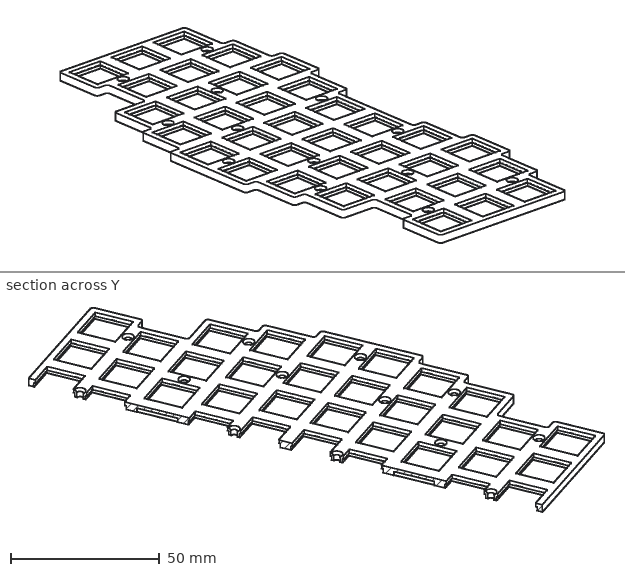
import cadquery as cq

KEY_PITCH = 19.05
STAGGER = KEY_PITCH / 4
CUTOUT_SIZE = 14.0

CLIP_LIP_THICKNESS = 1.5
CLIP_RELIEF_DEPTH = 0.5
CLIP_RELIEF_SIZE = CUTOUT_SIZE + 2 * CLIP_RELIEF_DEPTH

PLATE_THICKNESS = 3.0
EDGE_MARGIN = 0.018
CORNER_RADIUS = 1.1

SCREW_DIAMETER = 2.2
SCREW_HEAD_DIAMETER = 4.0
COUNTERSINK_ANGLE = 90.0

HALF_COLUMNS = [(4, 0), (4, 1), (4, 2), (3, 1), (3, 0)]

HIGHEST_STEP = max(step for _, step in HALF_COLUMNS)
LAYOUT_HEIGHT = HALF_COLUMNS[0][0] * KEY_PITCH + HIGHEST_STEP * STAGGER
CENTRE_COLUMN_TOP = LAYOUT_HEIGHT / 2 - HIGHEST_STEP * STAGGER

HALF_SCREWS = [
    (1.0, 0.375),
    (1.0, 2.375),
    (2.0, 3.125),
    (2.5, 1.5),
    (4.0, 0.375),
    (4.0, 2.375),
]
CENTRE_SCREW_DROP = 3.5


def column_top(step):
    return CENTRE_COLUMN_TOP + step * STAGGER


def column_centre_x(index):
    return (index + 0.5) * KEY_PITCH


def mirrored(points):
    """Return the points together with their mirror images about the YZ plane."""
    return points + [(-x, y) for x, y in points]


def make_plate():
    """Slab covering all key cells, with every upright corner rounded."""
    plate = cq.Workplane("XY")
    for index, (key_count, step) in enumerate(HALF_COLUMNS):
        column_height = key_count * KEY_PITCH
        centre_y = column_top(step) - column_height / 2
        column_pair = (
            cq.Workplane("XY")
            .pushPoints(mirrored([(column_centre_x(index), centre_y)]))
            .rect(KEY_PITCH + 2 * EDGE_MARGIN, column_height + 2 * EDGE_MARGIN)
            .extrude(PLATE_THICKNESS)
        )
        plate = plate.union(column_pair)
    return plate.clean().edges("|Z").fillet(CORNER_RADIUS)


def key_centres():
    centres = []
    for index, (key_count, step) in enumerate(HALF_COLUMNS):
        for row in range(key_count):
            centres.append((column_centre_x(index), column_top(step) - (row + 0.5) * KEY_PITCH))
    return mirrored(centres)


def screw_centres():
    half = [(x * KEY_PITCH, CENTRE_COLUMN_TOP - drop * KEY_PITCH) for x, drop in HALF_SCREWS]
    centre = (0.0, CENTRE_COLUMN_TOP - CENTRE_SCREW_DROP * KEY_PITCH)
    return mirrored(half) + [centre]


def cut_key_openings(plate):
    openings = (
        cq.Workplane("XY")
        .pushPoints(key_centres())
        .rect(CUTOUT_SIZE, CUTOUT_SIZE)
        .extrude(PLATE_THICKNESS)
    )
    return plate.cut(openings)


def cut_clip_reliefs(plate):
    reliefs = (
        cq.Workplane("XY")
        .pushPoints(key_centres())
        .rect(CLIP_RELIEF_SIZE, CLIP_RELIEF_SIZE)
        .extrude(PLATE_THICKNESS - CLIP_LIP_THICKNESS)
    )
    return plate.cut(reliefs)


def cut_screw_holes(plate):
    return (
        plate.faces(">Z")
        .workplane(origin=(0, 0, PLATE_THICKNESS))
        .pushPoints(screw_centres())
        .cskHole(SCREW_DIAMETER, SCREW_HEAD_DIAMETER, COUNTERSINK_ANGLE)
    )


result = make_plate()
result = cut_key_openings(result)
result = cut_clip_reliefs(result)
result = cut_screw_holes(result)